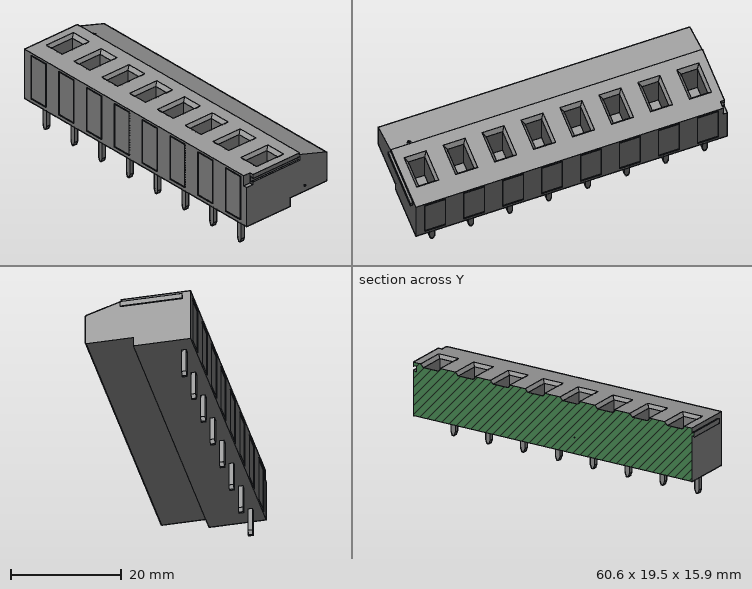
import cadquery as cq


pole_count = 8
housing_length = 60.0
pole_pitch = housing_length / pole_count
pole_centers = [(index + 0.5) * pole_pitch for index in range(pole_count)]

housing_depth = 19.5
housing_height = 10.4
front_strip_depth = 1.5
foot_depth = 10.6
rear_underside_z = 1.8
crown_back_y = 12.85
crown_step = 0.35
rear_wall_drop = 2.5
rear_edge_chamfer = 0.2

label_width = 4.0
label_height = 9.1
label_bottom_z = 0.7
label_recess_depth = 0.2

opening_width = 4.25
opening_front_y = 3.9
opening_back_y = 10.4
mouth_side_inset = 0.55
mouth_front_inset = 0.5
mouth_back_inset = 0.7
mouth_depth = 0.65
opening_depth = 7.3

rail_reach = 0.5
rail_back_y = 12.95
rail_center_z = 9.2
rail_neck_height = 0.6
rail_tip_height = 0.95
groove_clearance = 0.1
groove_entry_width = 0.8
groove_entry_bottom_z = 8.3

pin_width = 0.95
pin_thickness = 0.85
pin_length = 5.45
pin_front_y = 1.6
pin_tip_height = 0.8
pin_tip_width = 0.35

pip_radius = 0.2
pip_height = 0.1
pip_y = 14.05
pip_z = 3.1
arrow_width = 0.7
arrow_length = 0.5
arrow_base_y = 13.5
arrow_depth = 0.3


def box_between(x_range, y_range, z_range):
    """Box spanning the given (low, high) range along each axis."""
    sizes = [high - low for low, high in (x_range, y_range, z_range)]
    corner = (x_range[0], y_range[0], z_range[0])
    return cq.Workplane("XY").box(*sizes, centered=False).translate(corner)


def make_housing():
    """Side profile with a sloping rear roof, extruded along the row of poles."""
    rear_top_z = housing_height - rear_wall_drop
    profile = [
        (0, 0),
        (foot_depth, 0),
        (foot_depth, rear_underside_z),
        (housing_depth, rear_underside_z),
        (housing_depth, rear_top_z),
        (crown_back_y, housing_height - crown_step),
        (crown_back_y, housing_height),
        (0, housing_height),
    ]
    housing = cq.Workplane("YZ").polyline(profile).close().extrude(housing_length)
    return housing.faces(">Y").edges("|X").chamfer(rear_edge_chamfer)


def make_label_recess(center_x):
    return box_between(
        (center_x - label_width / 2, center_x + label_width / 2),
        (0, label_recess_depth),
        (label_bottom_z, label_bottom_z + label_height),
    )


def make_screw_opening(center_x):
    """Rectangular well with a tapered mouth."""
    left_x = center_x - opening_width / 2
    right_x = center_x + opening_width / 2
    well_left_x = left_x + mouth_side_inset
    well_right_x = right_x - mouth_side_inset
    well_front_y = opening_front_y + mouth_front_inset
    well_back_y = opening_back_y - mouth_back_inset
    mouth_outline = [
        (left_x, opening_front_y),
        (right_x, opening_front_y),
        (right_x, opening_back_y),
        (left_x, opening_back_y),
    ]
    well_outline = [
        (well_left_x, well_front_y),
        (well_right_x, well_front_y),
        (well_right_x, well_back_y),
        (well_left_x, well_back_y),
    ]
    mouth = (
        cq.Workplane("XY", origin=(0, 0, housing_height))
        .polyline(mouth_outline)
        .close()
        .workplane(offset=-mouth_depth)
        .polyline(well_outline)
        .close()
        .loft(ruled=True)
    )
    well = box_between(
        (well_left_x, well_right_x),
        (well_front_y, well_back_y),
        (housing_height - opening_depth, housing_height - mouth_depth),
    )
    return mouth.union(well)


def make_dovetail(neck_x, reach, clearance):
    """Dovetail bar along Y that widens from its neck at neck_x toward -X."""
    neck_half = (rail_neck_height + clearance) / 2
    tip_half = (rail_tip_height + clearance) / 2
    section = [
        (neck_x, rail_center_z - neck_half),
        (neck_x, rail_center_z + neck_half),
        (neck_x - reach, rail_center_z + tip_half),
        (neck_x - reach, rail_center_z - tip_half),
    ]
    return (
        cq.Workplane("XZ", origin=(0, front_strip_depth, 0))
        .polyline(section)
        .close()
        .extrude(front_strip_depth - rail_back_y)
    )


def make_groove_entry():
    """Notch through the front strip that lets a neighbour's rail slide in."""
    return box_between(
        (housing_length - groove_entry_width, housing_length),
        (0, front_strip_depth),
        (groove_entry_bottom_z, housing_height),
    )


def make_pin(center_x):
    """Flat pin whose tip narrows across its width."""
    shoulder_z = pin_tip_height - pin_length
    outline = [
        (center_x - pin_width / 2, 0),
        (center_x - pin_width / 2, shoulder_z),
        (center_x - pin_tip_width / 2, -pin_length),
        (center_x + pin_tip_width / 2, -pin_length),
        (center_x + pin_width / 2, shoulder_z),
        (center_x + pin_width / 2, 0),
    ]
    return (
        cq.Workplane("XZ", origin=(0, pin_front_y, 0))
        .polyline(outline)
        .close()
        .extrude(-pin_thickness)
    )


def make_end_pip():
    return (
        cq.Workplane("YZ", origin=(housing_length, pip_y, pip_z))
        .circle(pip_radius)
        .extrude(pip_height)
    )


def make_first_pole_arrow():
    """Triangular recess in the rear slope, beside the first pole and pointing to the rear."""
    center_x = pole_centers[0]
    outline = [
        (center_x - arrow_width / 2, arrow_base_y),
        (center_x + arrow_width / 2, arrow_base_y),
        (center_x, arrow_base_y + arrow_length),
    ]
    slope_fall = (rear_wall_drop - crown_step) / (housing_depth - crown_back_y)
    base_z = housing_height - crown_step - slope_fall * (arrow_base_y - crown_back_y)
    return (
        cq.Workplane("XY", origin=(0, 0, base_z - arrow_depth))
        .polyline(outline)
        .close()
        .extrude(housing_height)
    )


result = make_housing()
for pole_x in pole_centers:
    result = result.cut(make_label_recess(pole_x))
    result = result.cut(make_screw_opening(pole_x))
    result = result.union(make_pin(pole_x))

result = result.union(make_dovetail(0, rail_reach, 0))
result = result.cut(make_groove_entry())
result = result.cut(make_dovetail(housing_length, rail_reach + groove_clearance, groove_clearance))
result = result.union(make_end_pip())
result = result.cut(make_first_pole_arrow())